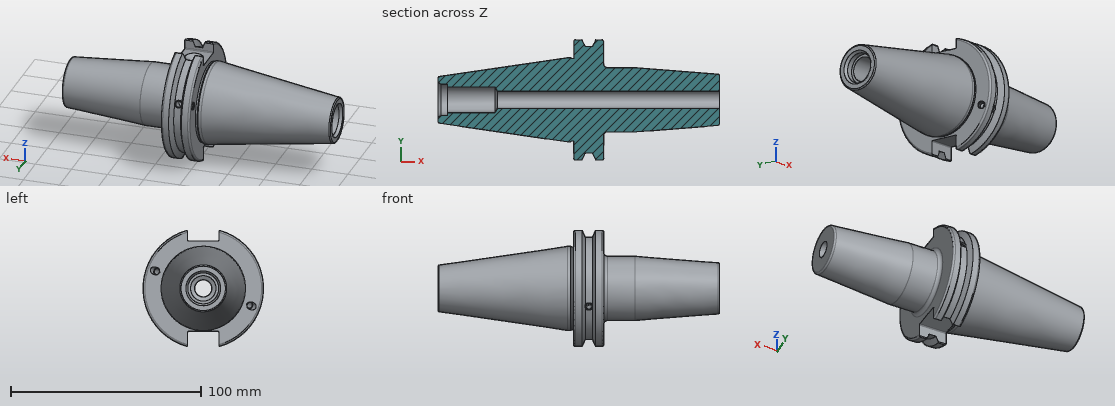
import cadquery as cq
import math

total_length = 148.25
gauge_plane = 68.25
flange_start = gauge_plane + 3.18
flange_end = gauge_plane + 19.05

taper_ratio = 7 / 24
gauge_diameter = 44.45
taper_small_diameter = gauge_diameter - taper_ratio * gauge_plane
taper_end_chamfer = 0.6
relief_diameter = 43.6
relief_start = 69.9
relief_floor_start = 70.5

flange_diameter = 63.5
flange_edge_radius = 1.0
groove_centre = 79.45
groove_floor_diameter = 56.4
groove_floor_width = 3.8
groove_half_angle = 25

neck_diameter = 34.0
neck_fillet = 2.0
nose_diameter = 27.0
nose_half_angle = 4.5
nose_end_radius = 1.0

slot_width = 16.33
slot_lip_chamfer = 0.5
slot_corner_radius = 0.4
upper_slot_height = 25.0
lower_slot_height = 22.6
dimple_diameter = 9.53
dimple_angle = 118

mouth_diameter = 18.3
mouth_half_angle = 30
pilot_diameter = 16.3
pilot_depth = 5.0
thread_diameter = 13.39
thread_depth = 30.0
through_diameter = 8.92
drill_point_angle = 118

coolant_clock_angle = 20
coolant_mouth_diameter = 4.0
coolant_passage_diameter = 3.24
inlet_radius = 27.1
inlet_tilt = 35
inlet_mouth_depth = 2.0
vent_mouth_depth = 1.0


def make_body():
    flange_radius = flange_diameter / 2
    floor_radius = groove_floor_diameter / 2
    wall_run = (flange_radius - floor_radius) * math.tan(math.radians(groove_half_angle))
    floor_half = groove_floor_width / 2
    nose_length = (neck_diameter - nose_diameter) / 2 / math.tan(math.radians(nose_half_angle))
    small_radius = taper_small_diameter / 2
    edge_mid = flange_edge_radius * (1 - math.sqrt(0.5))
    fillet_mid = neck_fillet * (1 - math.sqrt(0.5))
    neck_radius = neck_diameter / 2
    profile = (
        cq.Workplane("XY")
        .moveTo(0, 0)
        .lineTo(0, small_radius - taper_end_chamfer)
        .lineTo(taper_end_chamfer, small_radius + taper_end_chamfer * taper_ratio / 2)
        .lineTo(gauge_plane, gauge_diameter / 2)
        .lineTo(relief_start, gauge_diameter / 2)
        .lineTo(relief_floor_start, relief_diameter / 2)
        .lineTo(flange_start, relief_diameter / 2)
        .lineTo(flange_start, flange_radius - flange_edge_radius)
        .threePointArc(
            (flange_start + edge_mid, flange_radius - edge_mid),
            (flange_start + flange_edge_radius, flange_radius),
        )
        .lineTo(groove_centre - floor_half - wall_run, flange_radius)
        .lineTo(groove_centre - floor_half, floor_radius)
        .lineTo(groove_centre + floor_half, floor_radius)
        .lineTo(groove_centre + floor_half + wall_run, flange_radius)
        .lineTo(flange_end - flange_edge_radius, flange_radius)
        .threePointArc(
            (flange_end - edge_mid, flange_radius - edge_mid),
            (flange_end, flange_radius - flange_edge_radius),
        )
        .lineTo(flange_end, neck_radius + neck_fillet)
        .threePointArc(
            (flange_end + fillet_mid, neck_radius + fillet_mid),
            (flange_end + neck_fillet, neck_radius),
        )
        .lineTo(total_length - nose_length, neck_radius)
        .lineTo(total_length, nose_diameter / 2)
        .lineTo(total_length, 0)
        .close()
    )
    body = profile.revolve(360, (0, 0, 0), (1, 0, 0))
    return body.faces(">X").edges().fillet(nose_end_radius)


def make_bore():
    mouth_depth = (mouth_diameter - pilot_diameter) / 2 / math.tan(math.radians(mouth_half_angle))
    point_run = (thread_diameter - through_diameter) / 2 / math.tan(math.radians(drill_point_angle / 2))
    profile = (
        cq.Workplane("XY")
        .moveTo(0, 0)
        .lineTo(0, mouth_diameter / 2)
        .lineTo(mouth_depth, pilot_diameter / 2)
        .lineTo(pilot_depth, pilot_diameter / 2)
        .lineTo(pilot_depth, thread_diameter / 2)
        .lineTo(thread_depth, thread_diameter / 2)
        .lineTo(thread_depth + point_run, through_diameter / 2)
        .lineTo(total_length, through_diameter / 2)
        .lineTo(total_length, 0)
        .close()
    )
    return profile.revolve(360, (0, 0, 0), (1, 0, 0))


def make_slot(floor_height):
    """Drive slot on the +Z side, with rounded floor corners and chamfered lips."""
    half_width = slot_width / 2
    lip_half_width = half_width + slot_lip_chamfer
    lip_height = math.sqrt((flange_diameter / 2) ** 2 - lip_half_width**2)
    length = flange_end - flange_start
    outer_height = flange_diameter / 2
    flare = outer_height - lip_height + slot_lip_chamfer
    channel = (
        cq.Workplane("XY")
        .box(length, slot_width, outer_height, centered=(False, True, False))
        .translate((flange_start, 0, floor_height))
        .edges("|X and <Z")
        .fillet(slot_corner_radius)
    )
    lips = (
        cq.Workplane("YZ", origin=(flange_start, 0, 0))
        .moveTo(-half_width, outer_height - flare)
        .lineTo(half_width, outer_height - flare)
        .lineTo(half_width + flare, outer_height)
        .lineTo(-half_width - flare, outer_height)
        .close()
        .extrude(length)
    )
    return channel.union(lips)


def make_dimple():
    radius = dimple_diameter / 2
    depth = radius / math.tan(math.radians(dimple_angle / 2))
    top = cq.Vector(groove_centre, 0, upper_slot_height)
    return cq.Workplane(cq.Solid.makeCone(radius, 0, depth, top, cq.Vector(0, 0, -1)))


def make_cylinder(diameter, start, direction, length):
    return cq.Workplane(cq.Solid.makeCylinder(diameter / 2, length, start, direction))


def make_coolant_hole():
    """Inclined inlet from the flange face meeting a radial vent from the groove, on the +Y side."""
    tilt = math.radians(inlet_tilt)
    inward = cq.Vector(math.cos(tilt), -math.sin(tilt), 0)
    outward = cq.Vector(0, 1, 0)
    entry = cq.Vector(flange_start, inlet_radius, 0)
    inlet_length = (groove_centre - flange_start) / math.cos(tilt)
    meeting = entry + inward * inlet_length
    mouth_lead = coolant_mouth_diameter
    mouth_start = entry - inward * mouth_lead
    vent_mouth_start = cq.Vector(groove_centre, groove_floor_diameter / 2 - vent_mouth_depth, 0)
    vent_length = vent_mouth_start.y - meeting.y

    inlet_mouth = make_cylinder(
        coolant_mouth_diameter, mouth_start, inward, mouth_lead + inlet_mouth_depth
    )
    inlet = make_cylinder(coolant_passage_diameter, entry, inward, inlet_length)
    vent = make_cylinder(coolant_passage_diameter, meeting, outward, vent_length)
    vent_mouth = make_cylinder(
        coolant_mouth_diameter, vent_mouth_start, outward, flange_diameter / 2 - vent_mouth_start.y
    )
    return inlet_mouth.union(inlet).union(vent).union(vent_mouth)


result = make_body().cut(make_bore())
result = result.cut(make_slot(upper_slot_height))
result = result.cut(make_slot(lower_slot_height).rotate((0, 0, 0), (1, 0, 0), 180))
result = result.cut(make_dimple())
for half_turn in (0, 180):
    hole = make_coolant_hole().rotate((0, 0, 0), (1, 0, 0), coolant_clock_angle + half_turn)
    result = result.cut(hole)